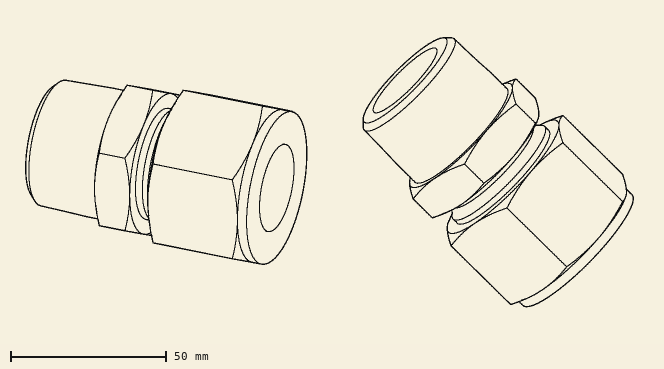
import cadquery as cq
import math

length = 79.6
bore_diameter = 28.6

tip_diameter = 37.6
tip_chamfer_length = 1.9
taper_start_diameter = 41.2
taper_end_diameter = 42.2
taper_end_x = 17.9

body_hex_start_x = 25.8
body_hex_end_x = 38.05
body_hex_flats = 46.0

neck_diameter = 36.45
neck_end_x = 40.4
shoulder_diameter = 41.9
shoulder_cone_end_x = 43.3

nut_start_x = 45.2
collar_length = 3.2
nut_end_x = length - collar_length
nut_flats = 50.0
collar_diameter = nut_flats

corner_chamfer_angle = 25.0


def revolve_profile(stations):
    """Solid of revolution about X through (x, diameter) stations."""
    profile = cq.Workplane("XZ").moveTo(stations[0][0], 0)
    for x, diameter in stations:
        profile = profile.lineTo(x, diameter / 2)
    profile = profile.lineTo(stations[-1][0], 0).close()
    return profile.revolve(360, (0, 0, 0), (1, 0, 0))


def chamfered_hexagon(start_x, end_x, across_flats):
    """Hexagon along X with corners at +Z and -Z, both ends chamfered conically."""
    across_corners = across_flats / math.cos(math.radians(30))
    corner_height = (across_corners - across_flats) / 2
    chamfer_length = corner_height * math.tan(math.radians(corner_chamfer_angle))
    prism = (
        cq.Workplane("YZ", origin=(start_x, 0, 0))
        .polygon(6, across_corners)
        .extrude(end_x - start_x)
        .rotate((0, 0, 0), (1, 0, 0), 90)
    )
    chamfer_envelope = revolve_profile([
        (start_x, across_flats),
        (start_x + chamfer_length, across_corners),
        (end_x - chamfer_length, across_corners),
        (end_x, across_flats),
    ])
    return prism.intersect(chamfer_envelope)


round_core = revolve_profile([
    (0, tip_diameter),
    (tip_chamfer_length, taper_start_diameter),
    (taper_end_x, taper_end_diameter),
    (body_hex_end_x, taper_end_diameter),
    (body_hex_end_x, neck_diameter),
    (neck_end_x, neck_diameter),
    (shoulder_cone_end_x, shoulder_diameter),
    (nut_end_x, shoulder_diameter),
    (nut_end_x, collar_diameter),
    (length, collar_diameter),
])

body_hex = chamfered_hexagon(body_hex_start_x, body_hex_end_x, body_hex_flats)
nut = chamfered_hexagon(nut_start_x, nut_end_x, nut_flats)

bore = cq.Workplane("YZ").circle(bore_diameter / 2).extrude(length)

result = round_core.union(body_hex).union(nut).cut(bore)